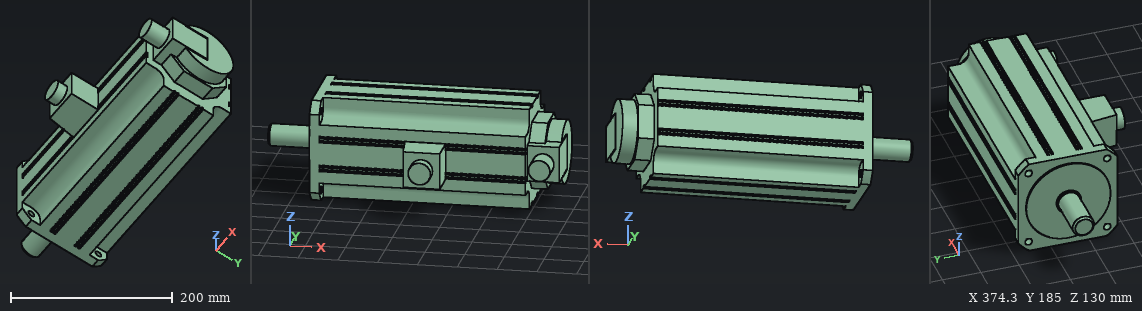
import cadquery as cq
import math


overall_length = 374.3
collar_start = 57.5
pilot_start = 60.0
flange_start = 62.0
flange_thickness = 12.5
motor_rear = 334.0
cap_rear = 373.0
flange_rear = flange_start + flange_thickness
encoder_middle = (motor_rear + overall_length) / 2

shaft_diameter = 28.0
shaft_chamfer = 2.5
collar_diameter = 32.0

side = 130.0
half_side = side / 2
flange_round_diameter = 165.0
pilot_diameter = 110.0
hole_spacing = 102.5
hole_diameter = 9.0

corner_notch = 27.0
notch_radius = corner_notch / 2
groove_width = 2.5
groove_depth = 2.5
groove_offsets = (16.0, 21.5)

box_width = 46.0
half_box = box_width / 2

power_box_rear = 233.5
power_box_reach = 106.0
overall_width = 185.0
power_plug_reach = overall_width - half_side
power_box_slant = 5.5
power_plug_diameter = 28.0
power_box_front = power_box_rear - box_width
power_plug_x = power_box_rear - half_box

encoder_plate_side = 86.0
encoder_plate_chamfer = 21.5
encoder_cap_diameter = 80.0
encoder_box_reach = 54.0
encoder_plug_reach = 81.2
encoder_plug_diameter = 27.0


def disc(diameter, start, end):
    """Cylinder on the motor axis from X = start to X = end."""
    return cq.Workplane("YZ", origin=(start, 0, 0)).circle(diameter / 2).extrude(end - start)


def plug(x, diameter, start_reach, end_reach):
    """Round plug pointing to -Y, between two distances from the motor axis."""
    plane = cq.Workplane("XZ", origin=(x, -start_reach, 0))
    return plane.circle(diameter / 2).extrude(end_reach - start_reach)


def make_shaft():
    """Chamfered shaft with its collar, standing on the pilot face."""
    journal = disc(shaft_diameter, 0, collar_start).faces("<X").chamfer(shaft_chamfer)
    return journal.union(disc(collar_diameter, collar_start, pilot_start))


def make_flange():
    """Square flange with corners turned round, four bolt holes and a centring pilot."""
    flange = (
        cq.Workplane("YZ", origin=(flange_start, 0, 0))
        .rect(side, side)
        .extrude(flange_thickness)
        .intersect(disc(flange_round_diameter, flange_start, flange_rear))
    )
    bolt_holes = (
        cq.Workplane("YZ", origin=(flange_start, 0, 0))
        .rect(hole_spacing, hole_spacing, forConstruction=True)
        .vertices()
        .circle(hole_diameter / 2)
        .extrude(flange_thickness)
    )
    return flange.cut(bolt_holes).union(disc(pilot_diameter, pilot_start, flange_start))


def make_corner_notch(length):
    """Cutter for the +Y +Z corner: a square notch with a rounded inner corner."""
    inner = half_side - corner_notch
    arc_center = inner + notch_radius
    arc_middle = arc_center - notch_radius * math.sqrt(0.5)
    return (
        cq.Workplane("YZ", origin=(flange_rear, 0, 0))
        .moveTo(half_side, half_side)
        .lineTo(inner, half_side)
        .lineTo(inner, arc_center)
        .threePointArc((arc_middle, arc_middle), (arc_center, inner))
        .lineTo(half_side, inner)
        .close()
        .extrude(length)
    )


def make_grooves(length):
    """Cutter for the two pairs of narrow grooves along the +Z face."""
    centers = [(sign * offset, half_side - groove_depth / 2) for sign in (-1, 1) for offset in groove_offsets]
    return (
        cq.Workplane("YZ", origin=(flange_rear, 0, 0))
        .pushPoints(centers)
        .rect(groove_width, groove_depth)
        .extrude(length)
    )


def make_extrusion():
    """Housing profile with notched corners and grooves on all four faces."""
    length = motor_rear - flange_rear
    extrusion = cq.Workplane("YZ", origin=(flange_rear, 0, 0)).rect(side, side).extrude(length)
    notch = make_corner_notch(length)
    grooves = make_grooves(length)
    for quarter in range(4):
        angle = 90 * quarter
        extrusion = extrusion.cut(notch.rotate((0, 0, 0), (1, 0, 0), angle))
        extrusion = extrusion.cut(grooves.rotate((0, 0, 0), (1, 0, 0), angle))
    return extrusion


def make_power_connector():
    """Box with a slanted front face, carrying a round plug."""
    box = (
        cq.Workplane("XY", origin=(0, 0, -half_box))
        .moveTo(power_box_front - power_box_slant, -half_side)
        .lineTo(power_box_rear, -half_side)
        .lineTo(power_box_rear, -power_box_reach)
        .lineTo(power_box_front, -power_box_reach)
        .close()
        .extrude(box_width)
    )
    return box.union(plug(power_plug_x, power_plug_diameter, power_box_reach, power_plug_reach))


def make_encoder():
    """Octagonal plate and round cap behind the housing, with a connector box and plug."""
    plate = (
        cq.Workplane("YZ", origin=(motor_rear, 0, 0))
        .rect(encoder_plate_side, encoder_plate_side)
        .extrude(encoder_middle - motor_rear)
        .edges("|X")
        .chamfer(encoder_plate_chamfer)
    )
    cap = disc(encoder_cap_diameter, encoder_middle, cap_rear)
    box = (
        cq.Workplane("YZ", origin=(motor_rear, -encoder_box_reach / 2, 0))
        .rect(encoder_box_reach, box_width)
        .extrude(overall_length - motor_rear)
    )
    encoder_plug = plug(encoder_middle, encoder_plug_diameter, encoder_box_reach, encoder_plug_reach)
    return plate.union(cap).union(box).union(encoder_plug)


def make_motor():
    """Flange, housing, power connector and encoder as one solid."""
    return make_flange().union(make_extrusion()).union(make_power_connector()).union(make_encoder())


shaft = make_shaft()
motor = make_motor()

result = cq.Compound.makeCompound([motor.solids().val(), shaft.solids().val()])